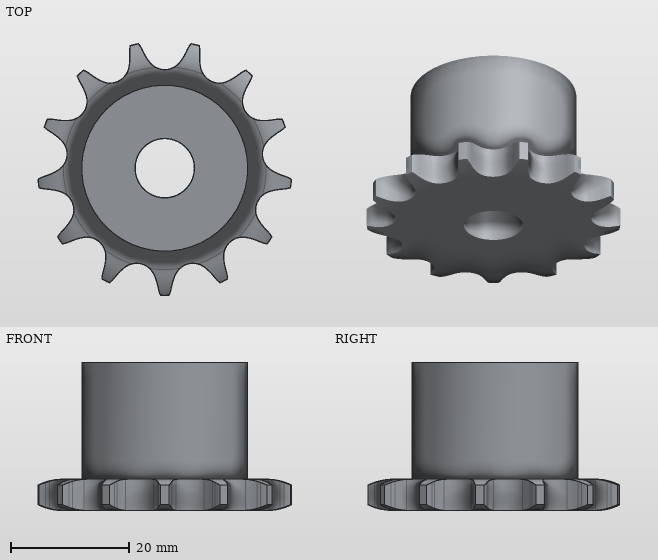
import cadquery as cq
import math


tooth_count = 13
chain_pitch = 9.5
roller_diameter = 6.35
seat_radius = 3.2
tip_radius = 21.5
plate_thickness = 5.3
crown_start_radius = 17.15
crown_radius = 10.0
hub_diameter = 28.0
total_height = 25.0
bore_diameter = 10.0

seat_base_angle = 35
seat_angle_per_tooth = 60
working_base_angle = 18
working_angle_per_tooth = 56
working_center_ratio = 0.8
topping_center_ratio = 1.4

half_tooth_angle = math.pi / tooth_count
pitch_radius = chain_pitch / (2 * math.sin(half_tooth_angle))
seat_end_angle = math.radians(seat_base_angle + seat_angle_per_tooth / tooth_count)
working_arc_angle = math.radians(working_base_angle - working_angle_per_tooth / tooth_count)
flank_angle = seat_end_angle - working_arc_angle
working_center_distance = working_center_ratio * roller_diameter
topping_center_distance = topping_center_ratio * roller_diameter
working_radius = working_center_distance + seat_radius

gap_clearance = 0.85


def polar(center, radius, angle):
    """Point at the given radius and angle (radians) around a center."""
    return (center[0] + radius * math.cos(angle), center[1] + radius * math.sin(angle))


def mirrored(point):
    """Point reflected across the Y axis."""
    return (-point[0], point[1])


def make_blank():
    """Solid plate with both rim faces rounded off, plus the hub."""
    crown_width = tip_radius - crown_start_radius
    crown_drop = crown_radius - math.sqrt(crown_radius**2 - crown_width**2)
    half_crown_angle = math.asin(crown_width / crown_radius) / 2
    crown_mid_x = crown_start_radius + crown_radius * math.sin(half_crown_angle)
    crown_mid_drop = crown_radius * (1 - math.cos(half_crown_angle))
    plate = (
        cq.Workplane("XZ")
        .lineTo(crown_start_radius, 0)
        .threePointArc((crown_mid_x, crown_mid_drop), (tip_radius, crown_drop))
        .lineTo(tip_radius, plate_thickness - crown_drop)
        .threePointArc((crown_mid_x, plate_thickness - crown_mid_drop), (crown_start_radius, plate_thickness))
        .lineTo(0, plate_thickness)
        .close()
        .revolve(360, (0, 0, 0), (0, 1, 0))
    )
    hub = cq.Workplane("XY").circle(hub_diameter / 2).extrude(total_height)
    return plate.union(hub)


def make_tooth_gap():
    """Space between two teeth, centered on +Y: seat, working arcs, straight flanks, topping arcs."""
    seat_center = (0, pitch_radius)
    working_center = polar(seat_center, working_center_distance, math.pi - seat_end_angle)
    topping_center = polar(seat_center, topping_center_distance, -half_tooth_angle)

    seat_bottom = (0, pitch_radius - seat_radius)
    seat_end = polar(seat_center, seat_radius, -seat_end_angle)
    working_mid = polar(working_center, working_radius, -(seat_end_angle + flank_angle) / 2)
    working_end = polar(working_center, working_radius, -flank_angle)

    offset_x = topping_center[0] - working_end[0]
    offset_y = topping_center[1] - working_end[1]
    topping_radius = offset_x * math.cos(flank_angle) - offset_y * math.sin(flank_angle)
    topping_start_angle = math.pi - flank_angle
    outer_y = tip_radius + gap_clearance
    topping_end_angle = math.pi - math.asin((outer_y - topping_center[1]) / topping_radius)
    topping_start = polar(topping_center, topping_radius, topping_start_angle)
    topping_mid = polar(topping_center, topping_radius, (topping_start_angle + topping_end_angle) / 2)
    topping_end = polar(topping_center, topping_radius, topping_end_angle)

    return (
        cq.Workplane("XY")
        .moveTo(*mirrored(topping_end))
        .threePointArc(mirrored(topping_mid), mirrored(topping_start))
        .lineTo(*mirrored(working_end))
        .threePointArc(mirrored(working_mid), mirrored(seat_end))
        .threePointArc(seat_bottom, seat_end)
        .threePointArc(working_mid, working_end)
        .lineTo(*topping_start)
        .threePointArc(topping_mid, topping_end)
        .close()
        .extrude(plate_thickness)
    )


result = make_blank()
tooth_gap = make_tooth_gap()
for index in range(tooth_count):
    result = result.cut(tooth_gap.rotate((0, 0, 0), (0, 0, 1), index * 360 / tooth_count))

bore = cq.Workplane("XY").circle(bore_diameter / 2).extrude(total_height)
result = result.cut(bore)